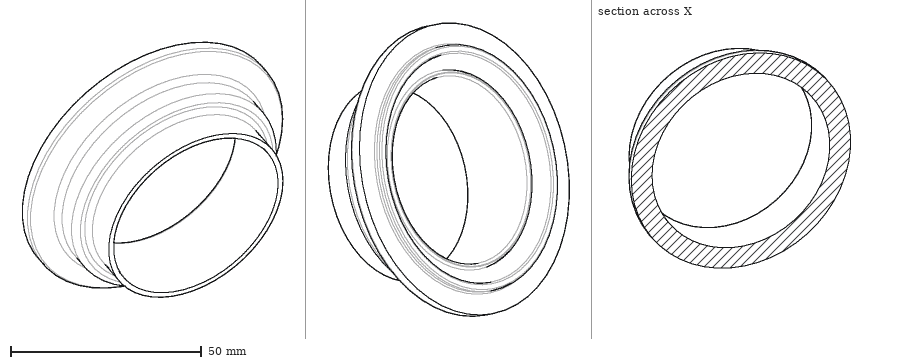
import cadquery as cq
import math

total_length = 26.0
flange_face = 1.85
flange_rim_end = 5.1
shoulder_face = 16.0
nose_face = 3.1
groove_floor = 4.8

flange_radius = 77.5 / 2
lip_radius = 65.6 / 2
hub_radius = 62 / 2
tube_radius = 53.0 / 2
bore_radius = 50.0 / 2
groove_outer_radius = 30.5
groove_inner_radius = 26.6

back_angle = math.radians(20)
cone_end = flange_rim_end + (flange_radius - hub_radius) * math.tan(back_angle)

lip_round = 0.5
rim_round = 0.8
neck_fillet = 2.0
shoulder_round = 1.7
tube_fillet = 1.5
nose_round = 0.7

corners = [
    (0, groove_outer_radius, lip_round),
    (0, lip_radius, lip_round),
    (flange_face, lip_radius, lip_round),
    (flange_face, flange_radius, 0),
    (flange_rim_end, flange_radius, rim_round),
    (cone_end, hub_radius, neck_fillet),
    (shoulder_face, hub_radius, shoulder_round),
    (shoulder_face, tube_radius, tube_fillet),
    (total_length, tube_radius, 0),
    (total_length, bore_radius, 0),
    (nose_face, bore_radius, nose_round),
    (nose_face, groove_inner_radius, nose_round),
]

groove_outer_end = (lip_round, groove_outer_radius)
groove_inner_end = (nose_face + nose_round, groove_inner_radius)
groove_bottom = (groove_floor, (groove_outer_radius + groove_inner_radius) / 2)


def corner_arc(before, corner, after, size):
    """Return the start, middle and end of the arc that rounds a corner."""
    point = cq.Vector(*corner)
    to_before = (cq.Vector(*before) - point).normalized()
    to_after = (cq.Vector(*after) - point).normalized()
    half_angle = to_before.getAngle(to_after) / 2
    setback = size / math.tan(half_angle)
    bisector = (to_before + to_after).normalized()
    middle = point + bisector * (size / math.sin(half_angle) - size)
    return point + to_before * setback, middle, point + to_after * setback


def half_section():
    """Return the closed half section: rounded corners, then the smooth curve of the groove."""
    points = [groove_outer_end] + [(x, radius) for x, radius, _ in corners] + [groove_inner_end]
    outline = cq.Workplane("XY").moveTo(*groove_outer_end)
    for i, (x, radius, size) in enumerate(corners):
        start, middle, end = corner_arc(points[i], (x, radius), points[i + 2], size)
        if i > 0:
            outline = outline.lineTo(start.x, start.y)
        if size > 0:
            outline = outline.threePointArc((middle.x, middle.y), (end.x, end.y))
    outline = outline.spline(
        [groove_bottom, groove_outer_end],
        tangents=[(1, 0), (0, 1), (-1, 0)],
        includeCurrent=True,
    )
    return outline.close()


result = half_section().revolve(360, (0, 0, 0), (1, 0, 0))